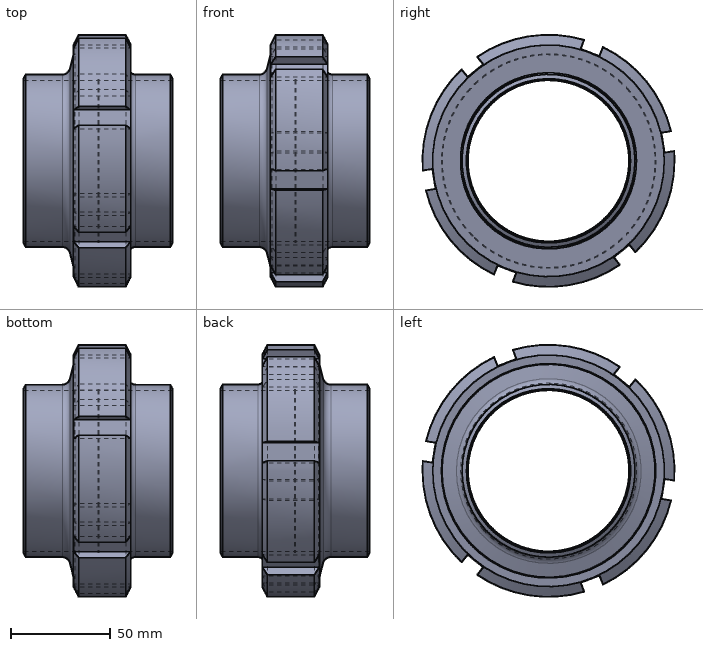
import cadquery as cq
import math

length = 75.0
pipe_radius = 87.0 / 2
bore_radius = 81.0 / 2
rim_radius = 82.7 / 2
rim_bevel_length = 1.1

nut_radius = 63.5
nut_face_radius = 58.3
nut_bevel_length = 2.7
nut_start = 25.1
nut_end = 54.1

cone_base_radius = 93.0 / 2
cone_outer_radius = 53.6
cone_angle = math.radians(14)
nut_mouth_radius = 54.0
gap_depth = 0.8

rear_fillet_radius = (94.0 - 87.0) / 2
rear_fillet_end = 56.4

seam_position = 37.5
seam_width = 0.4
seam_depth = 0.5

slot_count = 6
slot_overrun = 1.3
slot_width = 10.0
slot_floor = 58.4
first_slot_angle = 9.0

start = -length / 2


def ring(x_start, x_end, inner, outer):
    """Plain ring around the X axis."""
    face = cq.Workplane("YZ", origin=(start + x_start, 0, 0)).circle(outer)
    return face.circle(inner).extrude(x_end - x_start)


def make_body():
    """Revolve the pipe ends, the collar and the unslotted nut in one profile."""
    turn = math.pi / 2 - cone_angle
    radius = (cone_base_radius - pipe_radius) / (1 - math.cos(turn))
    cone_start = nut_start - (cone_outer_radius - cone_base_radius) * math.tan(cone_angle)
    fillet_start = cone_start - radius * math.sin(turn)
    front_mid = (
        fillet_start + radius * math.sin(turn / 2),
        pipe_radius + radius * (1 - math.cos(turn / 2)),
    )

    rear_turn = math.asin((rear_fillet_end - nut_end) / rear_fillet_radius)

    def rear_point(angle):
        return (
            rear_fillet_end - rear_fillet_radius * math.sin(angle),
            pipe_radius + rear_fillet_radius * (1 - math.cos(angle)),
        )

    profile = (
        cq.Workplane("XY", origin=(start, 0, 0))
        .moveTo(0, bore_radius)
        .lineTo(0, rim_radius)
        .lineTo(rim_bevel_length, pipe_radius)
        .lineTo(fillet_start, pipe_radius)
        .threePointArc(front_mid, (cone_start, cone_base_radius))
        .lineTo(nut_start, cone_outer_radius)
        .lineTo(nut_start, nut_face_radius)
        .lineTo(nut_start + nut_bevel_length, nut_radius)
        .lineTo(nut_end - nut_bevel_length, nut_radius)
        .lineTo(nut_end, nut_face_radius)
        .lineTo(*rear_point(rear_turn))
        .threePointArc(rear_point(rear_turn / 2), rear_point(0))
        .lineTo(length - rim_bevel_length, pipe_radius)
        .lineTo(length, rim_radius)
        .lineTo(length, bore_radius)
        .close()
    )
    return profile.revolve(360, (0, 0, 0), (1, 0, 0))


def make_slots():
    """Flat-floored slots across the full width of the nut."""
    slot_height = nut_radius - slot_floor + slot_overrun
    block = cq.Workplane("XY").box(nut_end - nut_start, slot_width, slot_height)
    block = block.translate((start + (nut_start + nut_end) / 2, 0, slot_floor + slot_height / 2))
    slots = cq.Workplane("XY")
    for index in range(slot_count):
        angle = first_slot_angle - 90 + index * 360 / slot_count
        slots = slots.add(block.rotate((0, 0, 0), (1, 0, 0), angle))
    return slots.combine()


gap = ring(nut_start, nut_start + gap_depth, cone_outer_radius, nut_mouth_radius)
seam = ring(seam_position, seam_position + seam_width, bore_radius, bore_radius + seam_depth)

result = make_body().cut(make_slots()).cut(gap).cut(seam)